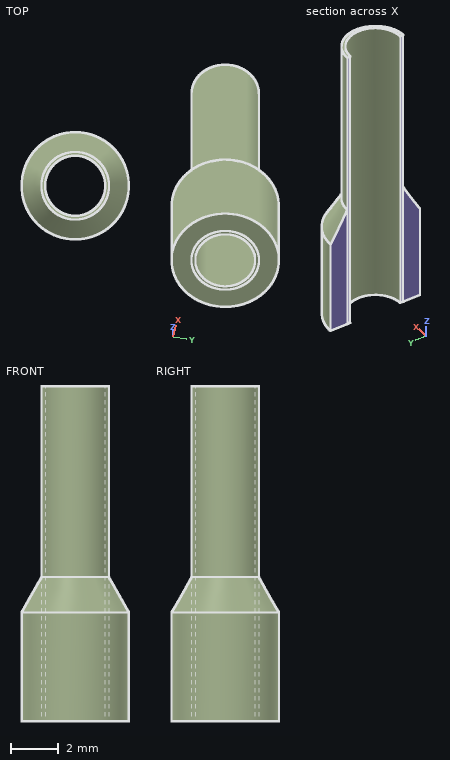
import cadquery as cq

total_length = 14.0

tube_diameter = 2.83
bore_diameter = 2.5

collar_diameter = 4.5
collar_straight_height = 4.55
collar_height = 6.02


def make_tube():
    """Thin straight tube over the full length, standing on Z = 0."""
    return (
        cq.Workplane("XY")
        .circle(tube_diameter / 2)
        .circle(bore_diameter / 2)
        .extrude(total_length)
    )


def make_collar():
    """Sleeve that fits the tube and tapers down to the tube surface at its top."""
    inner_radius = tube_diameter / 2
    outer_radius = collar_diameter / 2
    return (
        cq.Workplane("XZ")
        .moveTo(inner_radius, 0)
        .lineTo(outer_radius, 0)
        .lineTo(outer_radius, collar_straight_height)
        .lineTo(inner_radius, collar_height)
        .close()
        .revolve(360, (0, 0, 0), (0, 1, 0))
    )


tube = make_tube()
collar = make_collar()

result = cq.Compound.makeCompound([tube.val(), collar.val()])